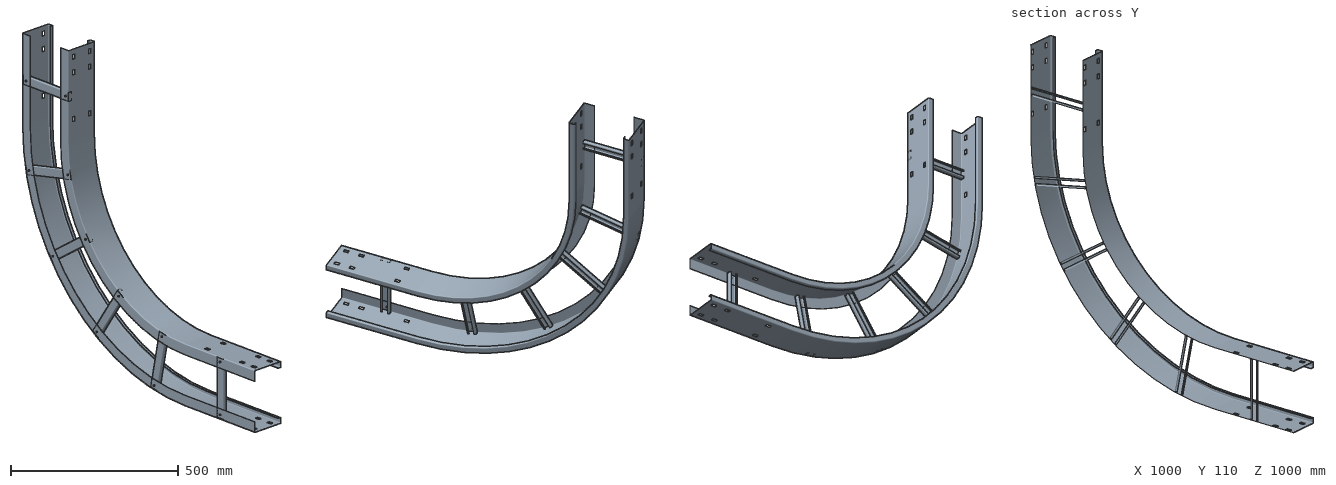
import cadquery as cq
import math

overall_size = 1000.0
rail_height = 110.0
ladder_width = 200.0
straight_length = 300.0
bend_radius = overall_size - straight_length

sheet = 1.5
fold_radius = 3.0
front_flange = 35.0
back_flange = 20.0
back_lip = 12.0

slot_length = 15.0
slot_height = 9.0
slot_distances = (25.0, 75.0, 225.0)
slot_spacing = 66.0

rung_width = 30.0
rung_depth = 15.0
rung_lip = 7.0
rung_end_gap = 2.0
end_rung_distance = 150.0
curved_rung_count = 4

hole_diameter = 5.0
hole_inset = 15.0

cut_depth = 4 * sheet


def folded_section(outside):
    """Closed outline of a sheet folded along a right-angled path whose folds all turn left.

    `outside` lists the (u, v) corners of the outer face; the sheet lies to its left.
    """
    normals = []
    for (u0, v0), (u1, v1) in zip(outside, outside[1:]):
        length = math.hypot(u1 - u0, v1 - v0)
        normals.append(((v0 - v1) / length, (u1 - u0) / length))

    inside = []
    for i, (u, v) in enumerate(outside):
        touching = normals[max(i - 1, 0):i + 1]
        inside.append((u + sheet * sum(n[0] for n in touching), v + sheet * sum(n[1] for n in touching)))

    outline = cq.Sketch().polygon(outside + inside[::-1] + outside[:1])
    for corners, radius in ((outside, fold_radius), (inside, fold_radius - sheet)):
        for u, v in corners[1:-1]:
            outline = outline.reset().vertices(cq.selectors.NearestToPointSelector((u, v, 0))).fillet(radius)
    return outline.reset()


def slot_cutters(offset):
    """Slots through the web of the rail whose outer face is `offset` from the outer side."""
    slot_along_x = cq.Workplane("XY").box(slot_length, slot_height, cut_depth)
    slot_along_z = cq.Workplane("XY").box(cut_depth, slot_height, slot_length)
    cutters = cq.Workplane("XY")
    for distance in slot_distances:
        along = overall_size - distance
        for side in (-1, 1):
            y = (rail_height + side * slot_spacing) / 2
            cutters = cutters.add(slot_along_x.translate((along, y, offset)))
            cutters = cutters.add(slot_along_z.translate((offset, y, along)))
    return cutters.combine()


def place_at_stations(shape):
    """Copies of `shape`, modelled across the ladder along +X at Z = 0, one at every rung."""
    end_height = overall_size - end_rung_distance
    copies = [shape.translate((0, 0, end_height))]
    pitch = 90 / curved_rung_count
    centre = (bend_radius, 0, bend_radius)
    for i in range(curved_rung_count):
        turn = (i + 0.5) * pitch
        at_tangent = shape.translate((0, 0, bend_radius))
        copies.append(at_tangent.rotate(centre, (bend_radius, 1, bend_radius), -turn))
    copies.append(shape.rotate((0, 0, 0), (0, 1, 0), -90).translate((end_height, 0, 0)))
    return copies


def hole_cutter():
    """Pair of fixing-hole cylinders of one rung, through the front flanges and the rung face."""
    return (cq.Workplane("XZ")
            .pushPoints([(hole_inset, 0), (ladder_width - hole_inset, 0)])
            .circle(hole_diameter / 2)
            .extrude(-cut_depth))


def make_rail(offset, inward):
    """One side rail; its flanges point away from the outer side for `inward` +1, towards it for -1."""
    section = folded_section([
        (0, front_flange),
        (0, 0),
        (rail_height, 0),
        (rail_height, back_flange),
        (rail_height - back_lip, back_flange),
    ])
    radius = bend_radius - offset
    arc_middle = bend_radius - radius * math.sqrt(0.5)
    path = (cq.Workplane("XZ")
            .moveTo(overall_size, offset)
            .lineTo(bend_radius, offset)
            .threePointArc((arc_middle, arc_middle), (offset, bend_radius))
            .lineTo(offset, overall_size))
    rail_end = cq.Plane(origin=(overall_size, 0, offset), xDir=(0, 1, 0), normal=(inward, 0, 0))
    rail = cq.Workplane(rail_end).placeSketch(section).sweep(path)
    rail = rail.cut(slot_cutters(offset))
    for holes in place_at_stations(hole_cutter()):
        rail = rail.cut(holes)
    return rail


def make_rung():
    """One rung, modelled across the ladder along +X at Z = 0."""
    half_width = rung_width / 2
    section = folded_section([
        (rung_lip - half_width, rung_depth),
        (-half_width, rung_depth),
        (-half_width, 0),
        (half_width, 0),
        (half_width, rung_depth),
        (half_width - rung_lip, rung_depth),
    ])
    end_inset = sheet + rung_end_gap
    rung_end = cq.Plane(origin=(ladder_width - end_inset, sheet, 0), xDir=(0, 0, 1), normal=(-1, 0, 0))
    rung = cq.Workplane(rung_end).placeSketch(section).extrude(ladder_width - 2 * end_inset)
    return rung.cut(hole_cutter())


outer_rail = make_rail(0, 1)
inner_rail = make_rail(ladder_width, -1)
rungs = place_at_stations(make_rung())

result = cq.Compound.makeCompound([
    outer_rail.val(),
    inner_rail.val(),
    *[rung.val() for rung in rungs],
])